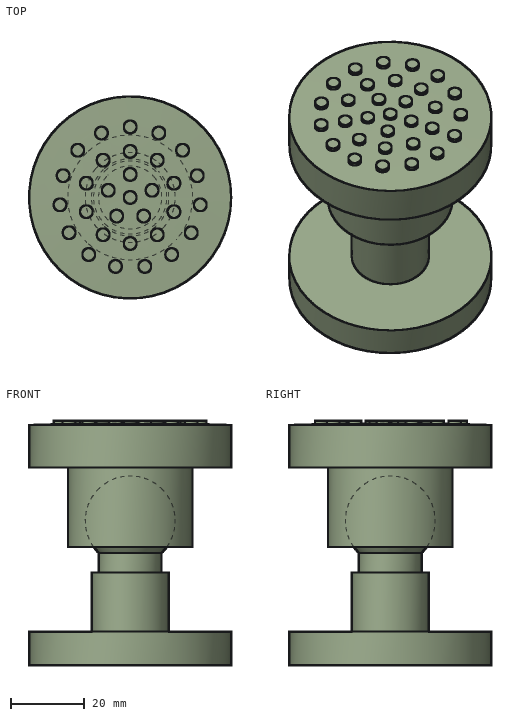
import cadquery as cq
import math

PLATE_RADIUS = 27.5
PLATE_HEIGHT = 9.2

POST_RADIUS = 10.5
POST_TOP = 25.3
NECK_RADIUS = 8.6
NECK_TOP = 30.6
BALL_RADIUS = 12.25

COLLAR_RADIUS = 17.0
COLLAR_BOTTOM = 32.2
FLANGE_RADIUS = PLATE_RADIUS
FLANGE_BOTTOM = 53.8
FLANGE_TOP = 65.4
DOME_RISE = 0.45
NOZZLE_RADIUS = 1.7
NOZZLE_TOP = 66.6
NOZZLE_RINGS = [(0.0, 1), (6.25, 5), (12.5, 10), (19.2, 15)]

BALL_CENTER = NECK_TOP + math.sqrt(BALL_RADIUS**2 - NECK_RADIUS**2)


def cylinder(radius, bottom, top):
    """Upright cylinder on the Z axis between two heights."""
    return cq.Workplane("XY").workplane(offset=bottom).circle(radius).extrude(top - bottom)


def ball():
    """Swivel ball on top of the neck."""
    return cq.Workplane("XY").sphere(BALL_RADIUS).translate((0, 0, BALL_CENTER))


def make_plate():
    """Round wall plate."""
    return cylinder(PLATE_RADIUS, 0, PLATE_HEIGHT)


def make_arm():
    """Post standing on the plate, with a thinner neck that ends in a ball."""
    post = cylinder(POST_RADIUS, PLATE_HEIGHT, POST_TOP)
    neck = cylinder(NECK_RADIUS, POST_TOP, BALL_CENTER)
    return post.union(neck).union(ball())


def make_shell():
    """Revolved collar and flange, closed by the shallow dome of the spray face."""
    dome_radius = (FLANGE_RADIUS**2 + DOME_RISE**2) / (2 * DOME_RISE)
    dome_center = FLANGE_TOP + DOME_RISE - dome_radius
    mid_radius = FLANGE_RADIUS / 2
    mid_height = dome_center + math.sqrt(dome_radius**2 - mid_radius**2)
    return (
        cq.Workplane("XZ")
        .moveTo(0, COLLAR_BOTTOM)
        .lineTo(COLLAR_RADIUS, COLLAR_BOTTOM)
        .lineTo(COLLAR_RADIUS, FLANGE_BOTTOM)
        .lineTo(FLANGE_RADIUS, FLANGE_BOTTOM)
        .lineTo(FLANGE_RADIUS, FLANGE_TOP)
        .threePointArc((mid_radius, mid_height), (0, FLANGE_TOP + DOME_RISE))
        .close()
        .revolve(360, (0, 0, 0), (0, 1, 0))
    )


def make_nozzles():
    """Concentric rings of round nozzles, rooted inside the flange."""
    nozzle_centers = []
    for ring_radius, count in NOZZLE_RINGS:
        for i in range(count):
            angle = math.pi / 2 + 2 * math.pi * i / count
            nozzle_centers.append((ring_radius * math.cos(angle), ring_radius * math.sin(angle)))
    nozzle_root = (FLANGE_BOTTOM + FLANGE_TOP) / 2
    return (
        cq.Workplane("XY")
        .workplane(offset=nozzle_root)
        .pushPoints(nozzle_centers)
        .circle(NOZZLE_RADIUS)
        .extrude(NOZZLE_TOP - nozzle_root)
    )


def make_head():
    """Spray head with a spherical socket that fits the ball."""
    return make_shell().union(make_nozzles()).cut(ball())


plate = make_plate()
arm = make_arm()
head = make_head()

result = cq.Compound.makeCompound([plate.val(), arm.val(), head.val()])